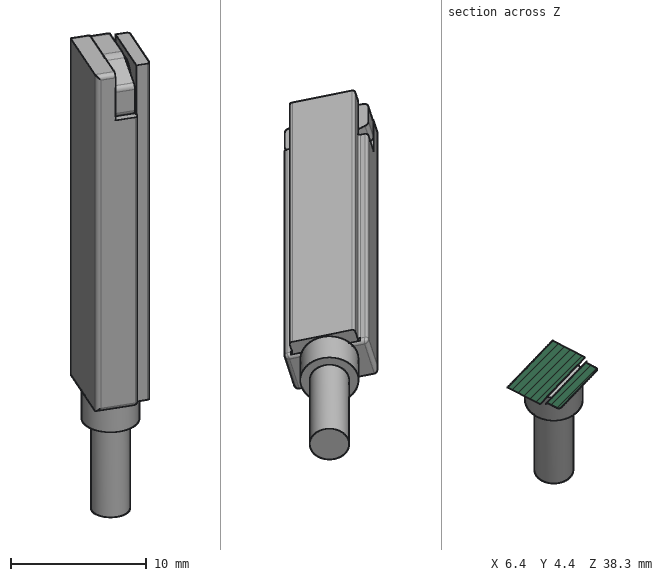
import cadquery as cq

total_height = 38.3
body_width = 6.4
body_depth = 3.25
edge_radius = 0.35
rear_edge_radius = 0.23

cable_diameter = 2.9
cable_length = 7.55
collar_diameter = 4.3
collar_length = 2.5

rail_width = 4.98
overall_depth = 4.4
rail_edge_radius = 0.23
root_radius = 0.15

plate_thickness = 1.5
pocket_depth = 3.95
rail_relief = 0.08
lever_thickness = 1.5
lever_height = 3.8
lever_inset = 0.02
lever_side_height = 2.53
lever_flat_end = 0.42
lever_corner_radius = 0.45
lever_bend_radius = 1.72
pivot_diameter = 2.5

body_bottom = cable_length + collar_length
body_height = total_height - body_bottom
front_y = -collar_diameter / 2
body_rear_y = front_y + body_depth
rear_y = front_y + overall_depth
lever_front_y = front_y + plate_thickness
lever_rear_y = lever_front_y + lever_thickness
rail_front_y = body_rear_y + rail_relief
lever_center_z = total_height - lever_inset - lever_height / 2


def box_between(width, y_start, y_end, z_start, z_end):
    """Box centred on X, given by its Y and Z limits."""
    return cq.Workplane("XY").box(
        width, y_end - y_start, z_end - z_start, centered=(True, False, False)
    ).translate((0, y_start, z_start))


def extrude_along_y(sketch_on_xz, y_start, y_end):
    """Extrude an XZ profile, sketched at Y = 0, between two Y positions."""
    return sketch_on_xz.extrude(-(y_end - y_start)).translate((0, y_start, 0))


def make_housing():
    """Rounded body with the rail on its back."""
    body = box_between(body_width, front_y, body_rear_y, body_bottom, total_height)
    body = body.edges("|Z and >Y").fillet(rear_edge_radius)
    front_edges = body.edges("|Z and <Y").vals()
    end_edges = body.faces("<X or >X").edges("|Y").vals()
    body = body.newObject(front_edges + end_edges).fillet(edge_radius)

    half_width = rail_width / 2
    root_y = body_rear_y + root_radius
    rail = (
        cq.Workplane("XY")
        .workplane(offset=body_bottom)
        .moveTo(-half_width, rear_y)
        .lineTo(-half_width, root_y)
        .radiusArc((-half_width - root_radius, body_rear_y), root_radius)
        .lineTo(half_width + root_radius, body_rear_y)
        .radiusArc((half_width, root_y), root_radius)
        .lineTo(half_width, rear_y)
        .close()
        .extrude(body_height)
    )
    rail = rail.edges("|Z and >Y").fillet(rail_edge_radius)
    return body.union(rail)


def make_pocket():
    """Open-topped cut right across the width, between front plate and rail."""
    return box_between(
        body_width, lever_front_y, rail_front_y, total_height - pocket_depth, total_height
    )


def make_lever():
    """Lever whose profile is unchanged by a half turn about its pivot."""
    half_width = body_width / 2 - lever_inset
    half_height = lever_height / 2
    shoulder_z = lever_side_height - half_height
    profile = (
        cq.Workplane("XZ")
        .moveTo(-half_width, half_height)
        .lineTo(lever_flat_end, half_height)
        .lineTo(half_width, shoulder_z)
        .lineTo(half_width, -half_height)
        .lineTo(-lever_flat_end, -half_height)
        .lineTo(-half_width, -shoulder_z)
        .close()
    )
    lever = extrude_along_y(profile, lever_front_y, lever_rear_y)
    lever = lever.edges("|Y and (<X or >X)").fillet(lever_corner_radius)
    bend_zone = cq.selectors.BoxSelector(
        (-2 * lever_flat_end, front_y, -lever_height),
        (2 * lever_flat_end, rear_y, lever_height),
    )
    lever = lever.edges(bend_zone).edges("|Y").fillet(lever_bend_radius)
    return lever.translate((0, 0, lever_center_z))


def make_pivot():
    """Disc bridging the gap between lever and rail."""
    return extrude_along_y(
        cq.Workplane("XZ").circle(pivot_diameter / 2), lever_rear_y, rail_front_y
    ).translate((0, 0, lever_center_z))


cable = cq.Workplane("XY").circle(cable_diameter / 2).extrude(body_bottom)
collar = (
    cq.Workplane("XY")
    .workplane(offset=cable_length)
    .circle(collar_diameter / 2)
    .extrude(collar_length)
)
result = (
    make_housing()
    .cut(make_pocket())
    .union(make_lever())
    .union(make_pivot())
    .union(collar)
    .union(cable)
)